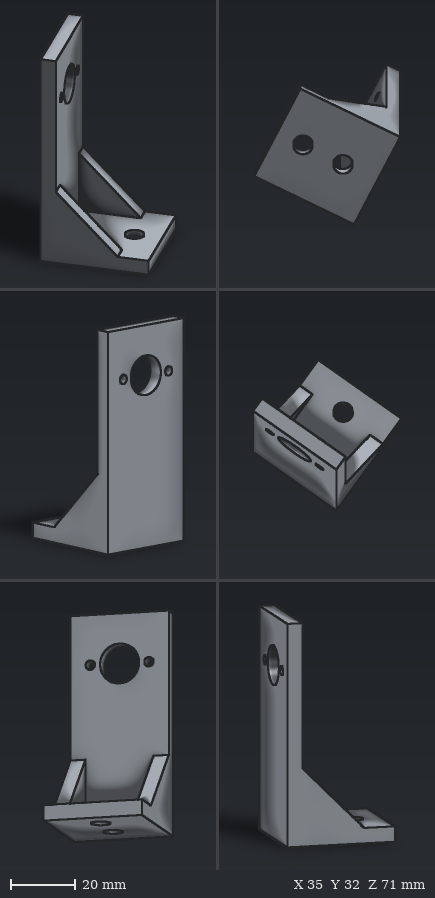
import cadquery as cq

length = 35.0
width = 32.0
height = 71.0
thickness = 5.0
gusset_leg = 20.0

bore_diameter = 12.6
bore_drop = 16.0
screw_diameter = 2.9
screw_offset = 9.5

mount_diameter = 6.0
mount_spacing = 14.0
first_mount_x = 12.0


def gusset(y_start):
    """Triangular rib in the inner corner, occupying one thickness from y_start."""
    return (
        cq.Workplane("XZ", origin=(thickness, y_start, thickness))
        .polyline([(0, 0), (gusset_leg, 0), (0, gusset_leg)])
        .close()
        .extrude(-thickness)
    )


def wall_hole(y, diameter):
    """Cutter along X through the wall at the bore height."""
    return (
        cq.Workplane("YZ", origin=(0, y, height - bore_drop))
        .circle(diameter / 2)
        .extrude(thickness)
    )


def base_hole(x):
    """Cutter along Z through the base on its centreline."""
    return cq.Workplane("XY", origin=(x, 0, 0)).circle(mount_diameter / 2).extrude(thickness)


wall = cq.Workplane("XY").box(thickness, width, height, centered=(False, True, False))
base = cq.Workplane("XY").box(length, width, thickness, centered=(False, True, False))
result = wall.union(base)

for y_start in (-width / 2, width / 2 - thickness):
    result = result.union(gusset(y_start))

result = result.cut(wall_hole(0, bore_diameter))
for side in (-1, 1):
    result = result.cut(wall_hole(side * screw_offset, screw_diameter))

for index in range(2):
    result = result.cut(base_hole(first_mount_x + index * mount_spacing))